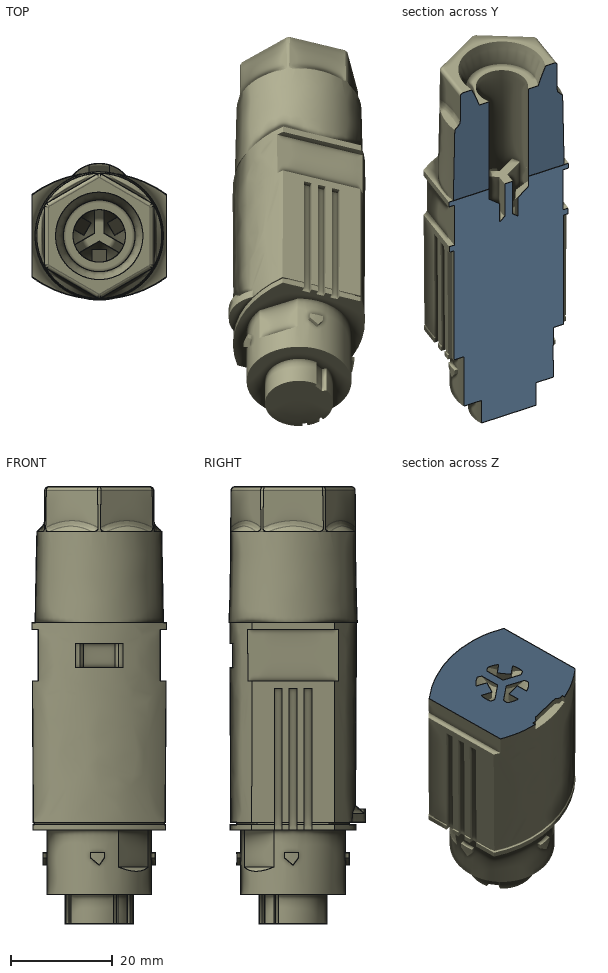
import cadquery as cq
import math

COLLAR_BOTTOM = 5.75
RING_BOTTOM = 18.4
RING_TOP = 19.5
BODY_BOTTOM = 19.9
NUT_BOTTOM = 59.15
SHOULDER_Z = 77.0
NUT_TOP = 85.85

BODY_HALF_X = 13.2
BODY_HALF_Y = 12.45
BODY_END_HALF_X = 13.0
BODY_END_HALF_Y = 12.3
BODY_ARC_RADIUS = 22.3
RING_HALF_X = 13.05
RING_HALF_Y = 12.4
NECK_HALF_X = 12.8
NECK_HALF_Y = 11.1

RECESS_HALF_X = 12.0
RECESS_Z = (47.7, 57.8)

GRIP_TOP = 46.2
GRIP_WIDTH = 1.55
GRIP_PITCH = 2.9
GRIP_FLOOR_X = 12.1

WINDOW_Z = (50.3, 55.0)
WINDOW_HALF_WIDTH = 4.6
WINDOW_STEP_HALF_WIDTH = 3.8
WINDOW_FLOOR_HALF_WIDTH = 3.1
WINDOW_STEP_Y = 11.3
WINDOW_FLOOR_Y = 10.7

CATCH_RADIUS = 6.9
CATCH_TIP_Y = 14.25
CATCH_Z = (19.9, 22.6)
CATCH_RIM_Z = 21.6
CATCH_RAMP = 2.75
CATCH_PAD_WIDTH = 3.95

COLLAR_RADIUS = 10.3
KEY_RADIUS = 11.1
KEY_TOP = 14.0
KEY_SHOULDER = 13.0
KEY_TIP = 11.5
KEY_LONG_SIDE = 1.7
KEY_SHORT_SIDE = 1.0
COLLAR_FLAT_DISTANCE = 9.45
COLLAR_FLAT_RUNOUT = 1.7
COLLAR_FLAT_BOTTOM = 11.2
COLLAR_FLAT_ANGLES = (-45, 135)
SPIGOT_RADIUS = 6.7
SLOT_DEPTH = 0.7
NARROW_SLOT = 1.0
WIDE_SLOT_FLOOR = [(-5.9, -1.3), (-5.0, -3.0), (-5.6, -3.9)]
NARROW_SLOT_ANGLES = (299, 330)

BORE_RADIUS = 5.15
CHAMBER_DEPTH = 10.3
FUNNEL_DEPTH = 3.4
WEB_THICKNESS = 1.8
WEB_ANGLES = (90, 210, 330)
WEDGE_WIDTH = 2.8
WEDGE_INNER_RADIUS = 2.7
WEDGE_HEIGHT = 7.7
FUNNEL_CENTRE_RADIUS = 3.8
FUNNEL_TOP_RADIUS = 3.95
FUNNEL_TIP_RADIUS = 0.5

NUT_BASE_RADIUS = 12.6
NUT_SHOULDER_RADIUS = 12.3
NUT_TOP_RADIUS = 12.2
HEX_ACROSS_FLATS = 21.5
HEX_ROOT_FILLET = 1.55
HEX_TOP_FILLET = 0.8
MOUTH_TOP_RADIUS = 8.6
MOUTH_BOTTOM_RADIUS = 7.0
MOUTH_DEPTH = 4.5


def cylinder(radius, bottom, top):
    return cq.Workplane("XY").workplane(offset=bottom).circle(radius).extrude(top - bottom)


def block(x_range, y_range, z_range):
    """Box between two values on each axis."""
    return (
        cq.Workplane("XY")
        .box(*(high - low for low, high in (x_range, y_range, z_range)), centered=False)
        .translate((x_range[0], y_range[0], z_range[0]))
    )


def spin(shape, angle):
    return shape.rotate((0, 0, 0), (0, 0, 1), angle)


def flattened_outline(half_x, half_y, z):
    """Outline with side flats at +-half_x and arcs through +-half_y."""
    sagitta = BODY_ARC_RADIUS - math.sqrt(BODY_ARC_RADIUS**2 - half_x**2)
    corner_y = half_y - sagitta
    return (
        cq.Workplane("XY", origin=(0, 0, z))
        .moveTo(-half_x, -corner_y)
        .threePointArc((0, -half_y), (half_x, -corner_y))
        .lineTo(half_x, corner_y)
        .threePointArc((0, half_y), (-half_x, corner_y))
        .close()
    )


def body_shell():
    body_end = flattened_outline(BODY_END_HALF_X, BODY_END_HALF_Y, BODY_BOTTOM)
    body_top = flattened_outline(BODY_HALF_X, BODY_HALF_Y, NUT_BOTTOM)
    body = cq.Workplane(cq.Solid.makeLoft([body_end.val(), body_top.val()], True))
    neck = flattened_outline(NECK_HALF_X, NECK_HALF_Y, RING_TOP).extrude(BODY_BOTTOM - RING_TOP)
    ring = flattened_outline(RING_HALF_X, RING_HALF_Y, RING_BOTTOM).extrude(RING_TOP - RING_BOTTOM)
    return body.union(neck).union(ring)


def side_cuts():
    """Shallow recess and three grip grooves on each side flat."""
    outer_x = BODY_HALF_X + 0.9
    cuts = block((RECESS_HALF_X, outer_x), (-BODY_HALF_Y, BODY_HALF_Y), RECESS_Z)
    for index in (-1, 0, 1):
        middle = index * GRIP_PITCH
        groove_y = (middle - GRIP_WIDTH / 2, middle + GRIP_WIDTH / 2)
        cuts = cuts.union(block((GRIP_FLOOR_X, outer_x), groove_y, (RING_BOTTOM, GRIP_TOP)))
    return cuts.union(spin(cuts, 180))


def window():
    """Latch window in the front, narrowing in steps towards its floor."""
    outer_y = BODY_HALF_Y + 0.9
    half_outline = [
        (WINDOW_HALF_WIDTH, -outer_y),
        (WINDOW_HALF_WIDTH, -WINDOW_STEP_Y),
        (WINDOW_STEP_HALF_WIDTH, -WINDOW_STEP_Y),
        (WINDOW_FLOOR_HALF_WIDTH, -WINDOW_FLOOR_Y),
    ]
    mirrored = [(-x, y) for x, y in reversed(half_outline)]
    return (
        cq.Workplane("XY", origin=(0, 0, WINDOW_Z[0]))
        .polyline(half_outline + mirrored)
        .close()
        .extrude(WINDOW_Z[1] - WINDOW_Z[0])
    )


def catch():
    """Round catch that ramps up to the back of the housing, with a level pad in the middle."""
    bottom, pad_z = CATCH_Z
    ramp = (
        cq.Workplane("XZ")
        .moveTo(0, bottom)
        .lineTo(CATCH_RADIUS, bottom)
        .lineTo(CATCH_RADIUS, CATCH_RIM_Z)
        .lineTo(CATCH_RADIUS - CATCH_RAMP, CATCH_RIM_Z + CATCH_RAMP)
        .lineTo(0, CATCH_RIM_Z + CATCH_RAMP)
        .close()
        .revolve(360, (0, 0, 0), (0, 1, 0))
    )
    pad_x = (-CATCH_PAD_WIDTH / 2, CATCH_PAD_WIDTH / 2)
    pad_y = (0, CATCH_RADIUS)
    above_pad = block(pad_x, pad_y, (pad_z, CATCH_RIM_Z + CATCH_RAMP))
    pad = block(pad_x, pad_y, CATCH_Z).intersect(cylinder(CATCH_RADIUS, bottom, pad_z))
    return ramp.cut(above_pad).union(pad).translate((0, CATCH_TIP_Y - CATCH_RADIUS, 0))


def key():
    """Arrow-shaped key at the front of the collar."""
    arrow = (
        cq.Workplane("XZ")
        .polyline([
            (-KEY_LONG_SIDE, KEY_TOP),
            (KEY_SHORT_SIDE, KEY_TOP),
            (KEY_SHORT_SIDE, KEY_SHOULDER),
            (0, KEY_TIP),
            (-KEY_LONG_SIDE, KEY_SHOULDER),
        ])
        .close()
        .extrude(COLLAR_RADIUS + KEY_RADIUS)
    )
    return arrow.intersect(cylinder(KEY_RADIUS, KEY_TIP, KEY_TOP))


def collar_flat():
    """Cutter for a flat on the +X side of the collar, with a 45 degree runout at its bottom."""
    reach = COLLAR_FLAT_RUNOUT
    return (
        cq.Workplane("XZ")
        .polyline([
            (COLLAR_FLAT_DISTANCE, RING_BOTTOM),
            (COLLAR_FLAT_DISTANCE, COLLAR_FLAT_BOTTOM),
            (COLLAR_FLAT_DISTANCE + reach, COLLAR_FLAT_BOTTOM - reach),
            (COLLAR_FLAT_DISTANCE + reach, RING_BOTTOM),
        ])
        .close()
        .extrude(COLLAR_RADIUS, both=True)
    )


def collar():
    ring = cylinder(COLLAR_RADIUS, COLLAR_BOTTOM, RING_BOTTOM)
    for angle in COLLAR_FLAT_ANGLES:
        ring = ring.cut(spin(collar_flat(), angle))
    for angle in range(0, 360, 90):
        ring = ring.union(spin(key(), angle))
    return ring


def spigot():
    stub = cylinder(SPIGOT_RADIUS, 0, COLLAR_BOTTOM)
    floor = SPIGOT_RADIUS - SLOT_DEPTH
    slot_x = (floor, SPIGOT_RADIUS + 0.9)
    height = (0, COLLAR_BOTTOM)
    narrow_slot = block(slot_x, (-NARROW_SLOT / 2, NARROW_SLOT / 2), height)
    for angle in NARROW_SLOT_ANGLES:
        stub = stub.cut(spin(narrow_slot, angle))
    outer_x = -SPIGOT_RADIUS - 0.9
    wide_slot = (
        cq.Workplane("XY")
        .moveTo(outer_x, WIDE_SLOT_FLOOR[0][1])
        .polyline(WIDE_SLOT_FLOOR, includeCurrent=True)
        .lineTo(outer_x, WIDE_SLOT_FLOOR[-1][1])
        .close()
        .extrude(COLLAR_BOTTOM)
    )
    return stub.cut(wide_slot)


def wedge(floor_z):
    """Contact wedge along +X whose top slopes down 45 degrees inwards."""
    top = floor_z + WEDGE_HEIGHT
    drop = BORE_RADIUS - WEDGE_INNER_RADIUS
    return (
        cq.Workplane("XZ")
        .polyline([
            (WEDGE_INNER_RADIUS, floor_z),
            (WEDGE_INNER_RADIUS, top - drop),
            (BORE_RADIUS, top),
            (BORE_RADIUS, floor_z),
        ])
        .close()
        .extrude(WEDGE_WIDTH / 2, both=True)
    )


def funnel(floor_z):
    """Tapered pit on the +X side of the axis, below one sector of the bore."""
    return (
        cq.Workplane("XY", origin=(FUNNEL_CENTRE_RADIUS, 0, floor_z))
        .circle(FUNNEL_TIP_RADIUS)
        .workplane(offset=FUNNEL_DEPTH)
        .circle(FUNNEL_TOP_RADIUS)
        .loft()
    )


def chamber():
    """Hollow below the nut: a bore with funnels, less the web arms and the wedges between them."""
    floor_z = NUT_BOTTOM - CHAMBER_DEPTH
    shaft = cylinder(BORE_RADIUS, floor_z, NUT_BOTTOM)
    hollow = cylinder(BORE_RADIUS, floor_z + FUNNEL_DEPTH, NUT_BOTTOM)
    arm = block((0, BORE_RADIUS + 0.9), (-WEB_THICKNESS / 2, WEB_THICKNESS / 2), (floor_z, NUT_BOTTOM))
    for angle in WEB_ANGLES:
        hollow = hollow.union(spin(funnel(floor_z), angle + 180).intersect(shaft))
    for angle in WEB_ANGLES:
        hollow = hollow.cut(spin(arm, angle))
        hollow = hollow.cut(spin(wedge(floor_z), angle + 180))
    return hollow


def make_housing():
    shell = body_shell().cut(side_cuts()).cut(window())
    return shell.union(catch()).union(collar()).union(spigot()).cut(chamber())


def nut_blank():
    """Slightly tapered round body of the nut."""
    return (
        cq.Workplane("XZ")
        .polyline([
            (0, NUT_BOTTOM),
            (NUT_BASE_RADIUS, NUT_BOTTOM),
            (NUT_SHOULDER_RADIUS, SHOULDER_Z),
            (NUT_TOP_RADIUS, NUT_TOP),
            (0, NUT_TOP),
        ])
        .close()
        .revolve(360, (0, 0, 0), (0, 1, 0))
    )


def hex_side():
    """Space left by one wrench flat at +X: everything behind the flat or below the shoulder cone."""
    reach = NUT_BASE_RADIUS + 0.9
    cone_radius = 2 * NUT_BASE_RADIUS
    flat_x = HEX_ACROSS_FLATS / 2
    apex_z = SHOULDER_Z + NUT_SHOULDER_RADIUS
    cone = (
        cq.Workplane("XZ")
        .polyline([
            (0, NUT_BOTTOM),
            (cone_radius, NUT_BOTTOM),
            (cone_radius, apex_z - cone_radius),
            (0, apex_z),
        ])
        .close()
        .revolve(360, (0, 0, 0), (0, 1, 0))
    )
    limits = block((-reach, reach), (-reach, reach), (NUT_BOTTOM, NUT_TOP))
    behind_flat = block((-reach, flat_x), (-reach, reach), (NUT_BOTTOM, NUT_TOP))
    side = behind_flat.union(cone.intersect(limits))
    shoulder_point = (flat_x, 0, SHOULDER_Z)
    root_edge = side.edges("%HYPERBOLA").edges(cq.NearestToPointSelector(shoulder_point))
    return root_edge.fillet(HEX_ROOT_FILLET)


def nut_outside():
    outside = nut_blank()
    side = hex_side()
    for angle in range(0, 360, 60):
        outside = outside.intersect(spin(side, angle))
    return outside.faces(">Z").edges().fillet(HEX_TOP_FILLET)


def nut_bore():
    mouth = (
        cq.Workplane("XY", origin=(0, 0, NUT_TOP - MOUTH_DEPTH))
        .circle(MOUTH_BOTTOM_RADIUS)
        .workplane(offset=MOUTH_DEPTH)
        .circle(MOUTH_TOP_RADIUS)
        .loft()
    )
    return mouth.union(cylinder(BORE_RADIUS, NUT_BOTTOM, NUT_TOP - MOUTH_DEPTH))


def make_nut():
    return nut_outside().cut(nut_bore())


housing = make_housing()
nut = make_nut()

result = cq.Compound.makeCompound([housing.solids().val(), nut.solids().val()])